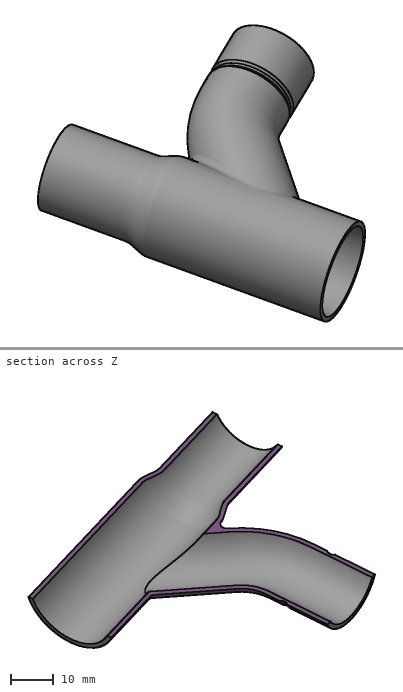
import cadquery as cq
import math

wall = 1.2
run_length = 73.84
spigot_radius = 21.5 / 2
body_radius = 25.0 / 2
spigot_length = 21.8
reducer_end = 28.2
reducer_blend_radius = 5.0

branch_radius = 21.5 / 2
overall_depth = 63.72
branch_x = 31.85
branch_top = overall_depth - body_radius
bend_start = 33.7
bend_radius = 20.0
bend_angle = 40.0
junction_fillet = 1.7

groove_radius = 20.7 / 2
collar_length = 11.4
groove_top = branch_top - collar_length
groove_width = 2.2
groove_floor = 0.8


def reducer_angle():
    """Slope of the cone joining two equal, opposite arcs across the reducer."""
    rise = body_radius - spigot_radius
    run = reducer_end - spigot_length
    diameter = 2 * reducer_blend_radius
    reach = math.hypot(run, diameter - rise)
    return math.asin(diameter / reach) - math.atan2(diameter - rise, run)


def revolved_run(inset):
    """Solid of the run tube, with its surface moved inward by the inset."""
    slope = reducer_angle()
    small = spigot_radius - inset
    large = body_radius - inset
    lower_blend = reducer_blend_radius + inset
    upper_blend = reducer_blend_radius - inset

    def lower_point(angle):
        return (
            spigot_length + lower_blend * math.sin(angle),
            small + lower_blend * (1 - math.cos(angle)),
        )

    def upper_point(angle):
        return (
            reducer_end - upper_blend * math.sin(angle),
            large - upper_blend * (1 - math.cos(angle)),
        )

    return (
        cq.Workplane("XY")
        .moveTo(0, 0)
        .lineTo(0, small)
        .lineTo(spigot_length, small)
        .threePointArc(lower_point(slope / 2), lower_point(slope))
        .lineTo(*upper_point(slope))
        .threePointArc(upper_point(slope / 2), (reducer_end, large))
        .lineTo(run_length, large)
        .lineTo(run_length, 0)
        .close()
        .revolve(360, (0, 0, 0), (1, 0, 0))
    )


def swept_branch(radius):
    """Solid of the branch, from its open end down to the axis of the run."""
    angle = math.radians(bend_angle)

    def bend_point(turn):
        return (
            branch_x + bend_radius * (1 - math.cos(turn)),
            bend_start - bend_radius * math.sin(turn),
        )

    bend_end = bend_point(angle)
    foot = (bend_end[0] + bend_end[1] * math.tan(angle), 0)
    path = (
        cq.Workplane("XY")
        .moveTo(branch_x, branch_top)
        .lineTo(branch_x, bend_start)
        .threePointArc(bend_point(angle / 2), bend_end)
        .lineTo(*foot)
    )
    return (
        cq.Workplane("XZ", origin=(branch_x, branch_top, 0))
        .circle(radius)
        .sweep(path)
    )


def branch_groove():
    """Ring with sloping sides that cuts the groove round the branch."""
    flank = (groove_width - groove_floor) / 2
    return (
        cq.Workplane("XY")
        .moveTo(branch_x + branch_radius, groove_top)
        .lineTo(branch_x + groove_radius, groove_top - flank)
        .lineTo(branch_x + groove_radius, groove_top - flank - groove_floor)
        .lineTo(branch_x + branch_radius, groove_top - groove_width)
        .close()
        .revolve(360, (branch_x, 0, 0), (branch_x, 1, 0))
    )


outside = revolved_run(0).union(swept_branch(branch_radius))
outside = outside.edges("%BSPLINE").fillet(junction_fillet)
result = (
    outside
    .cut(revolved_run(wall))
    .cut(swept_branch(branch_radius - wall))
    .cut(branch_groove())
)